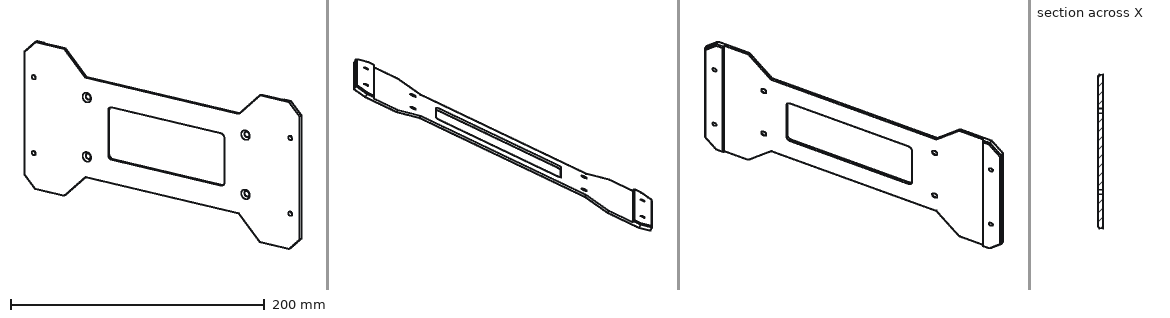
import cadquery as cq

length = 260.0
height = 124.0
base_thickness = 2.0
total_thickness = 4.0

corner_cut = 10.0
end_width = 37.5
shoulder = 20.0

pad_width = 16.5
pad_chamfer = 1.0

pattern_center_x = 4.0
screw_center_z = 0.5
window_length = 110.0
window_height = 44.2
window_radius = 3.5
screw_spacing_x = 150.0
screw_spacing_z = 50.0
screw_diameter = 4.5
countersink_diameter = 8.0
countersink_angle = 90.0

end_hole_diameter = 3.5
end_hole_spacing_x = 242.5
end_hole_spacing_z = 64.0

half_length = length / 2
half_height = height / 2
waist_half_height = half_height - shoulder
shoulder_outer_x = half_length - end_width
shoulder_inner_x = shoulder_outer_x - shoulder


def front_plane(center_x=0.0, center_z=0.0):
    """XZ workplane centred at (center_x, center_z) on the front face, normal toward -Y."""
    return cq.Workplane("XZ", origin=(center_x, 0, center_z))


def plate(thickness):
    """Prism of the full outline, from the front face toward +Y."""
    upper_right = [
        (shoulder_inner_x, waist_half_height),
        (shoulder_outer_x, half_height),
        (half_length - corner_cut, half_height),
        (half_length, half_height - corner_cut),
    ]
    lower_right = [(x, -z) for x, z in reversed(upper_right)]
    right_side = upper_right + lower_right
    left_side = [(-x, z) for x, z in reversed(right_side)]
    return front_plane().polyline(right_side + left_side).close().extrude(-thickness)


def end_pad(side):
    """Full-thickness end strip with its back edges chamfered; side is -1 or +1."""
    strip = cq.Workplane("XY").box(pad_width, total_thickness, height)
    strip = strip.translate((side * (half_length - pad_width / 2), total_thickness / 2, 0))
    return plate(total_thickness).intersect(strip).faces(">Y").chamfer(pad_chamfer)


def window():
    """Rounded rectangular opening through the waist."""
    opening = front_plane(pattern_center_x).rect(window_length, window_height)
    return opening.extrude(-total_thickness).edges("|Y").fillet(window_radius)


def add_screw_holes(body):
    """Four through holes countersunk from the front face."""
    layout = body.copyWorkplane(front_plane(pattern_center_x, screw_center_z))
    corners = layout.rect(screw_spacing_x, screw_spacing_z, forConstruction=True).vertices()
    return corners.cskHole(screw_diameter, countersink_diameter, countersink_angle)


def add_end_holes(body):
    """Four plain through holes, two in each raised end."""
    layout = body.copyWorkplane(front_plane())
    corners = layout.rect(end_hole_spacing_x, end_hole_spacing_z, forConstruction=True).vertices()
    return corners.hole(end_hole_diameter)


body = plate(base_thickness)
for side in (-1, 1):
    body = body.union(end_pad(side))
body = body.cut(window())
body = add_screw_holes(body)
result = add_end_holes(body)